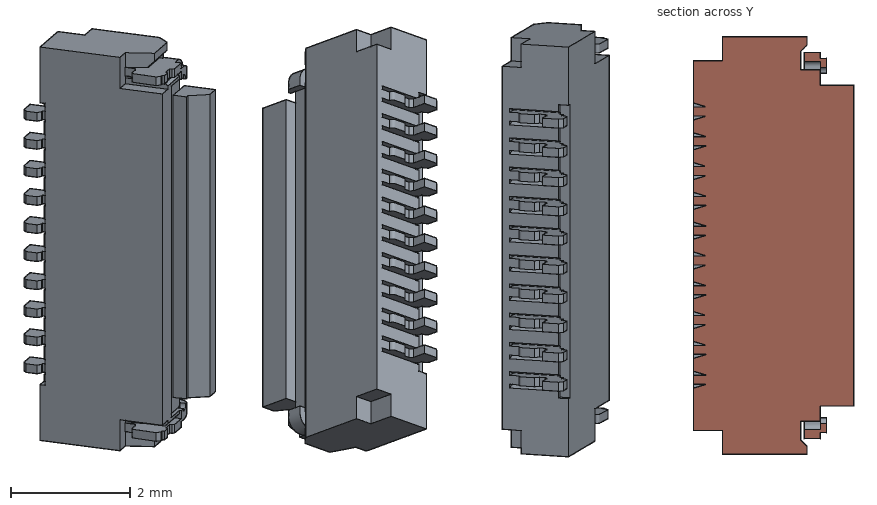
import cadquery as cq


LENGTH = 7.0
HALF_LENGTH = LENGTH / 2
BACK_X = 0.315
FLOOR_Y = 0.015
ROOF_Y = 1.18
END_WALL_X = 2.22
MOUTH_X = 2.51
LIP_Y = 0.435
ROOF_CHAMFER_X = 0.21
ROOF_CHAMFER_Y = 0.18
CHAMFER_Y = ROOF_Y - ROOF_CHAMFER_Y

TAB_NOTCH_X = 1.75
TAB_NOTCH_Y = 0.265
TAB_NOTCH_SLOPE_Y = 0.41
TAB_NOTCH_Z = 2.95
END_BEVEL = 0.105
END_BEVEL_Z = 3.36
LEDGE_Z = 3.05
LEDGE_BEVEL = 0.05
CORNER_NOTCH_X = 0.8
CORNER_NOTCH_Y = 0.85
CORNER_NOTCH_Z = 3.1

FLAP_X = 2.44
FLAP_TIP_X = 3.0
FLAP_TOP_Y = 1.22
FLAP_TIP_Y = 0.95
FLAP_HEEL_X = 2.68
FLAP_HEEL_Y = 0.76
FLAP_BOTTOM_Y = 0.7
FLAP_HALF_LENGTH = 2.69

SHEET = 0.155
TAB_TOP_Z = 3.24
TAB_BOTTOM_Z = TAB_TOP_Z - SHEET
TAB_LEFT_X = 2.17
TAB_RIGHT_X = 2.55
TAB_BACK_Y = 1.16
BEND_RADIUS = 0.245
BEND_Y = TAB_BACK_Y - BEND_RADIUS
TAB_TIP_Z = 2.885
LOW_STRIP_Z = 3.14
STRIP_CHAMFER = 0.1
FOOT_LEFT_X = 1.95
FOOT_RIGHT_X = 2.47
FOOT_FILLET = 0.05
FOOT_CHAMFER = 0.06
FOOT_BARB = 0.04
FOOT_BARB_BOTTOM_Y = 0.11
FOOT_BARB_TOP_Y = 0.295
FOOT_SHOULDER_Y = 0.26
FOOT_WAIST_Y = 0.46
WAIST_CHAMFER_Y = 0.5
RELIEF_HEIGHT = 0.11

CONTACT_COUNT = 10
CONTACT_ROW_LENGTH = 4.495
PITCH = CONTACT_ROW_LENGTH / (CONTACT_COUNT - 1)
CONTACT_WIDTH = 0.155
CONTACT_BACK_X = 0.56
BUMP_TOP_Y = 0.88
CONTACT_BUMP_X = 0.245
BUMP_RADIUS = BACK_X - CONTACT_BUMP_X
BUMP_BOTTOM_Y = 0.59
NECK_TOP_Y = 0.525
NECK_BOTTOM_Y = 0.43
LEG_TOP_Y = 0.37
LEG_BEND_X = 0.26
LEG_BOTTOM_Y = 0.02
LEG_TIP_CHAMFER = 0.06
LEG_HEEL_Y = 0.09
NECK_UNDERSIDE_Y = 0.13
SLOT_BOTTOM_Y = 0.19
SLOT_TOP_Y = 1.05
SLOT_WIDTH = 0.28
SLOT_DEPTH = 0.21
RECESS_DEPTH = 0.09
RECESS_HALF_LENGTH = 2.505


def block(x_range, y_range, z_range):
    """Axis-aligned box between the given limits."""
    (x0, x1), (y0, y1), (z0, z1) = x_range, y_range, z_range
    return cq.Workplane("XY").box(x1 - x0, y1 - y0, z1 - z0, centered=False).translate((x0, y0, z0))


def both_ends(shape):
    """The shape at the +Z end together with its mirror image at the -Z end."""
    return shape.union(shape.mirror("XY"))


def housing_middle():
    """Housing between the two tab notches, with the lip and the seat of the flap on the +X side."""
    outline = [
        (BACK_X, FLOOR_Y),
        (MOUTH_X, FLOOR_Y),
        (MOUTH_X, LIP_Y),
        (FLAP_X, LIP_Y),
        (FLAP_X, CHAMFER_Y),
        (END_WALL_X, CHAMFER_Y),
        (END_WALL_X - ROOF_CHAMFER_X, ROOF_Y),
        (BACK_X, ROOF_Y),
    ]
    return cq.Workplane("XY").polyline(outline).close().extrude(TAB_NOTCH_Z, both=True)


def housing_end():
    """End of the housing beyond the tab notch, with its corner notch."""
    outline = [
        (BACK_X, FLOOR_Y),
        (TAB_NOTCH_X, FLOOR_Y),
        (TAB_NOTCH_X, TAB_NOTCH_Y),
        (END_WALL_X, TAB_NOTCH_SLOPE_Y),
        (END_WALL_X, CHAMFER_Y),
        (END_WALL_X - ROOF_CHAMFER_X, ROOF_Y),
        (BACK_X, ROOF_Y),
    ]
    end = (
        cq.Workplane("XY", origin=(0, 0, TAB_NOTCH_Z))
        .polyline(outline).close().extrude(HALF_LENGTH - TAB_NOTCH_Z)
    )
    undercut = (
        cq.Workplane("XZ")
        .polyline([
            (END_WALL_X, END_BEVEL_Z),
            (END_WALL_X - END_BEVEL, END_BEVEL_Z - END_BEVEL),
            (END_WALL_X - END_BEVEL, TAB_NOTCH_Z),
            (END_WALL_X, TAB_NOTCH_Z),
        ])
        .close().extrude(-ROOF_Y)
    )
    corner = block((BACK_X, CORNER_NOTCH_X), (CORNER_NOTCH_Y, ROOF_Y), (CORNER_NOTCH_Z, HALF_LENGTH))
    return end.cut(undercut).cut(corner)


def ledge():
    """Low step under a solder tab, bevelled at its outer edge, with a pad below the tab's relief."""
    step = (
        cq.Workplane("XZ", origin=(0, TAB_NOTCH_Y, 0))
        .polyline([
            (TAB_NOTCH_X, TAB_NOTCH_Z),
            (TAB_NOTCH_X, LEDGE_Z),
            (MOUTH_X - LEDGE_BEVEL, LEDGE_Z),
            (MOUTH_X, LEDGE_Z - LEDGE_BEVEL),
            (MOUTH_X, TAB_NOTCH_Z),
        ])
        .close().extrude(TAB_NOTCH_Y - BEND_Y)
    )
    pad = block((FLAP_X, TAB_RIGHT_X), (BEND_Y - RELIEF_HEIGHT, BEND_Y), (TAB_NOTCH_Z, LOW_STRIP_Z))
    return step.union(pad)


def flap():
    """Wedge-shaped locking flap along the +X side."""
    outline = [
        (FLAP_X, FLAP_TOP_Y),
        (FLAP_TIP_X, FLAP_TOP_Y),
        (FLAP_TIP_X, FLAP_TIP_Y),
        (FLAP_HEEL_X, FLAP_HEEL_Y),
        (FLAP_HEEL_X, FLAP_BOTTOM_Y),
        (FLAP_X, FLAP_BOTTOM_Y),
    ]
    return cq.Workplane("XY").polyline(outline).close().extrude(FLAP_HALF_LENGTH, both=True)


def tab_plate():
    """Flat part of a solder tab, with the foot reaching down to Y = 0."""
    plate = (
        cq.Workplane("XY", origin=(0, 0, TAB_BOTTOM_Z))
        .moveTo(FOOT_LEFT_X + FOOT_FILLET, FLOOR_Y)
        .lineTo(FOOT_RIGHT_X - FOOT_CHAMFER, 0)
        .lineTo(FOOT_RIGHT_X, FOOT_CHAMFER)
        .lineTo(FOOT_RIGHT_X, FOOT_BARB_BOTTOM_Y)
        .lineTo(FOOT_RIGHT_X + FOOT_BARB, FOOT_BARB_BOTTOM_Y)
        .lineTo(FOOT_RIGHT_X + FOOT_BARB, FOOT_BARB_TOP_Y - FOOT_BARB)
        .lineTo(FOOT_RIGHT_X, FOOT_BARB_TOP_Y)
        .lineTo(FOOT_RIGHT_X, FOOT_WAIST_Y)
        .lineTo(MOUTH_X, FOOT_WAIST_Y)
        .lineTo(TAB_RIGHT_X, WAIST_CHAMFER_Y)
        .lineTo(TAB_RIGHT_X, BEND_Y)
        .lineTo(TAB_NOTCH_X, BEND_Y)
        .lineTo(TAB_NOTCH_X, FOOT_SHOULDER_Y)
        .lineTo(FOOT_LEFT_X - FOOT_FILLET, FOOT_SHOULDER_Y)
        .radiusArc((FOOT_LEFT_X, FOOT_SHOULDER_Y - FOOT_FILLET), FOOT_FILLET)
        .lineTo(FOOT_LEFT_X, FLOOR_Y + FOOT_FILLET)
        .radiusArc((FOOT_LEFT_X + FOOT_FILLET, FLOOR_Y), -FOOT_FILLET)
        .close().extrude(SHEET)
    )
    relief = block((FLAP_X, TAB_RIGHT_X), (BEND_Y - RELIEF_HEIGHT, BEND_Y), (TAB_BOTTOM_Z, TAB_TOP_Z))
    return plate.cut(relief)


def bent_strip(left_x, right_x, top_z):
    """Quarter bend from height top_z down to a short wall behind the housing mouth."""
    inner_radius = BEND_RADIUS - SHEET
    bend_z = top_z - BEND_RADIUS
    return (
        cq.Workplane("YZ", origin=(left_x, 0, 0))
        .moveTo(BEND_Y, top_z)
        .radiusArc((TAB_BACK_Y, bend_z), BEND_RADIUS)
        .lineTo(TAB_BACK_Y, TAB_TIP_Z)
        .lineTo(TAB_BACK_Y - SHEET, TAB_TIP_Z)
        .lineTo(TAB_BACK_Y - SHEET, bend_z)
        .radiusArc((BEND_Y, top_z - SHEET), -inner_radius)
        .close().extrude(right_x - left_x)
    )


def tab_bend():
    """Bent back of a solder tab, with a lower strip along its outer edge."""
    main_strip = bent_strip(TAB_LEFT_X, FLAP_X, TAB_TOP_Z)
    low_strip = bent_strip(FLAP_X, TAB_RIGHT_X, LOW_STRIP_Z)
    corner = (
        cq.Workplane("XY", origin=(0, 0, TAB_TIP_Z))
        .polyline([
            (TAB_RIGHT_X - STRIP_CHAMFER, TAB_BACK_Y),
            (TAB_RIGHT_X, TAB_BACK_Y),
            (TAB_RIGHT_X, TAB_BACK_Y - STRIP_CHAMFER),
        ])
        .close().extrude(LOW_STRIP_Z - TAB_TIP_Z)
    )
    return main_strip.union(low_strip.cut(corner))


def contact(z):
    """Contact with a soldering leg below and a rounded bump above."""
    return (
        cq.Workplane("XY", origin=(0, 0, z - CONTACT_WIDTH / 2))
        .moveTo(0, LEG_TOP_Y)
        .lineTo(0, LEG_BOTTOM_Y + LEG_TIP_CHAMFER)
        .lineTo(LEG_TIP_CHAMFER, LEG_BOTTOM_Y)
        .lineTo(LEG_BEND_X, LEG_BOTTOM_Y)
        .lineTo(BACK_X, LEG_HEEL_Y)
        .lineTo(BACK_X, NECK_UNDERSIDE_Y)
        .lineTo(CONTACT_BACK_X, NECK_UNDERSIDE_Y)
        .lineTo(CONTACT_BACK_X, SLOT_TOP_Y)
        .lineTo(BACK_X, SLOT_TOP_Y)
        .lineTo(BACK_X, BUMP_TOP_Y)
        .radiusArc((CONTACT_BUMP_X, BUMP_TOP_Y - BUMP_RADIUS), -BUMP_RADIUS)
        .lineTo(CONTACT_BUMP_X, BUMP_BOTTOM_Y)
        .lineTo(BACK_X, NECK_TOP_Y)
        .lineTo(BACK_X, NECK_BOTTOM_Y)
        .lineTo(LEG_BEND_X, LEG_TOP_Y)
        .close().extrude(CONTACT_WIDTH)
    )


def contact_slot(z):
    """Slot that narrows from the back face to the contact's width."""
    return (
        cq.Workplane("XZ", origin=(0, SLOT_BOTTOM_Y, 0))
        .polyline([
            (BACK_X, z - SLOT_WIDTH / 2),
            (BACK_X + SLOT_DEPTH, z - CONTACT_WIDTH / 2),
            (BACK_X + SLOT_DEPTH, z + CONTACT_WIDTH / 2),
            (BACK_X, z + SLOT_WIDTH / 2),
        ])
        .close().extrude(SLOT_BOTTOM_Y - SLOT_TOP_Y)
    )


leg_recess = block(
    (BACK_X, BACK_X + RECESS_DEPTH),
    (FLOOR_Y, SLOT_BOTTOM_Y),
    (-RECESS_HALF_LENGTH, RECESS_HALF_LENGTH),
)

result = housing_middle().union(both_ends(housing_end().union(ledge()))).cut(leg_recess)
result = result.union(flap()).union(both_ends(tab_plate().union(tab_bend())))
for i in range(CONTACT_COUNT):
    contact_z = (i - (CONTACT_COUNT - 1) / 2) * PITCH
    result = result.cut(contact_slot(contact_z)).union(contact(contact_z))